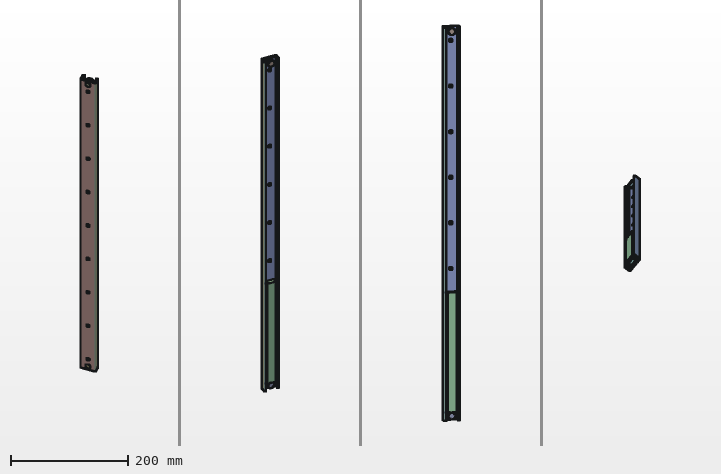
import cadquery as cq

TOTAL_DEPTH = 12.9
BACK_Y = -TOTAL_DEPTH / 2
FRONT_Y = TOTAL_DEPTH / 2

RAIL_LENGTH = 690.0
RAIL_WIDTH = 28.0
RAIL_DEPTH = 12.25
WEB_THICKNESS = 4.0
CHANNEL_WIDTH = 21.0
OUTER_CORNER_RADIUS = 1.0
WEB_INNER_Y = BACK_Y + WEB_THICKNESS

HOLE_DIAMETER = 5.5
HOLE_PITCH = 80.0
HOLE_COUNT = 9

SLIDER_WIDTH = 16.0
SLIDER_LENGTH = 210.0
SLIDER_CENTER_Z = -225.0
SLIDER_WEB_GAP = 0.8

CAGE_RADIUS = 2.5
CAGE_LENGTH = SLIDER_LENGTH
CAGE_X = (CHANNEL_WIDTH + SLIDER_WIDTH) / 4
CAGE_Y = 2.5

STOP_SHANK_DIAMETER = 9.5
STOP_HEAD_DIAMETER = 12.0
STOP_HEAD_HEIGHT = 6.5
STOP_END_DISTANCE = 8.0
STOP_Z = RAIL_LENGTH / 2 - STOP_END_DISTANCE


def centered_block(width, y_min, y_max, length):
    """A block centred on X and Z, reaching from y_min to y_max."""
    depth = y_max - y_min
    return cq.Workplane("XY").box(width, depth, length).translate((0, y_min + depth / 2, 0))


def cross_cylinder(diameter, y_min, height, z):
    """A cylinder along +Y, starting at y_min, with its axis at height z."""
    base = cq.Plane(origin=(0, y_min, z), xDir=(1, 0, 0), normal=(0, 1, 0))
    return cq.Workplane(base).circle(diameter / 2).extrude(height)


def cage_bar(side, length, z_center):
    """A round bar along Z on the -X (side = -1) or +X (side = 1) ball track."""
    bar = cq.Workplane("XY").center(side * CAGE_X, CAGE_Y).circle(CAGE_RADIUS).extrude(length)
    return bar.translate((0, 0, z_center - length / 2))


def make_rail():
    outer = centered_block(RAIL_WIDTH, BACK_Y, BACK_Y + RAIL_DEPTH, RAIL_LENGTH)
    outer = outer.edges("|Z").fillet(OUTER_CORNER_RADIUS)
    rail = outer.cut(centered_block(CHANNEL_WIDTH, WEB_INNER_Y, FRONT_Y, RAIL_LENGTH))
    for side in (-1, 1):
        rail = rail.cut(cage_bar(side, RAIL_LENGTH, 0))
    for i in range(HOLE_COUNT):
        z = (i - (HOLE_COUNT - 1) / 2) * HOLE_PITCH
        rail = rail.cut(cross_cylinder(HOLE_DIAMETER, BACK_Y, WEB_THICKNESS, z))
    for z in (-STOP_Z, STOP_Z):
        rail = rail.cut(cross_cylinder(STOP_SHANK_DIAMETER, BACK_Y, WEB_THICKNESS, z))
    return rail


def make_slider():
    slider = centered_block(SLIDER_WIDTH, WEB_INNER_Y + SLIDER_WEB_GAP, FRONT_Y, SLIDER_LENGTH)
    slider = slider.translate((0, 0, SLIDER_CENTER_Z))
    for side in (-1, 1):
        slider = slider.cut(cage_bar(side, SLIDER_LENGTH, SLIDER_CENTER_Z))
    return slider


def make_ball_cage(side):
    return cage_bar(side, CAGE_LENGTH, SLIDER_CENTER_Z)


def make_end_stop(z):
    shank = cross_cylinder(STOP_SHANK_DIAMETER, BACK_Y, WEB_THICKNESS, z)
    head = cross_cylinder(STOP_HEAD_DIAMETER, WEB_INNER_Y, STOP_HEAD_HEIGHT, z)
    return shank.union(head)


rail = make_rail()
slider = make_slider()
ball_cages = [make_ball_cage(side).val() for side in (-1, 1)]
end_stops = [make_end_stop(z).val() for z in (-STOP_Z, STOP_Z)]

result = cq.Compound.makeCompound(
    [rail.val(), slider.val(), *ball_cages, *end_stops]
)